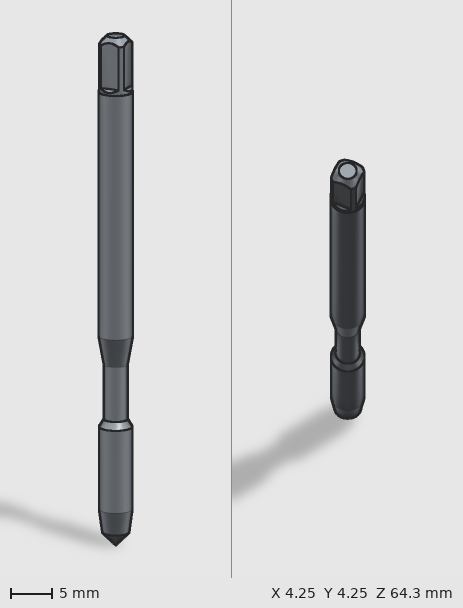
import cadquery as cq

length = 64.35
shank_radius = 4.25 / 2
neck_radius = 2.95 / 2
cutter_radius = 4.1 / 2

drive_radius = 4.1 / 2
drive_flat_width = 3.35
drive_top_radius = 1.1
drive_bottom_z = 57.25
flat_bottom_z = 58.0
drive_chamfer = drive_radius - drive_top_radius
drive_chamfer_z = length - drive_chamfer

taper_top_z = 26.45
taper_bottom_z = 22.85

shoulder_top_z = 15.95
cutter_top_z = 15.0
lead_top_z = 4.6
point_radius = 1.7
point_height = point_radius


def revolve_about_z(profile):
    """Turn a list of (radius, z) points into a solid about the Z axis."""
    return cq.Workplane("XZ").polyline(profile).close().revolve(360, (0, 0, 0), (0, 1, 0))


def drive_flat_cutter():
    """Material outside the +X flat: a vertical face that runs out at 45 degrees."""
    half_width = drive_flat_width / 2
    outer = 2 * shank_radius
    runout_z = flat_bottom_z - (outer - half_width)
    profile = [
        (half_width, flat_bottom_z),
        (half_width, length),
        (outer, length),
        (outer, runout_z),
    ]
    return cq.Workplane("XZ").polyline(profile).close().extrude(shank_radius, both=True)


def make_shank():
    """Square drive, cylindrical shank, taper and neck, ending on the cutter."""
    shank = revolve_about_z([
        (0, length),
        (drive_top_radius, length),
        (drive_radius, drive_chamfer_z),
        (drive_radius, drive_bottom_z),
        (shank_radius, drive_bottom_z),
        (shank_radius, taper_top_z),
        (neck_radius, taper_bottom_z),
        (neck_radius, shoulder_top_z),
        (0, shoulder_top_z),
    ])
    flat_cutter = drive_flat_cutter()
    for angle in (0, 90, 180, 270):
        shank = shank.cut(flat_cutter.rotate((0, 0, 0), (0, 0, 1), angle))
    return shank


def make_cutter():
    """Cutting head with a conical shoulder, a tapered lead and a point."""
    return revolve_about_z([
        (0, shoulder_top_z),
        (neck_radius, shoulder_top_z),
        (cutter_radius, cutter_top_z),
        (cutter_radius, lead_top_z),
        (point_radius, point_height),
        (0, 0),
    ])


shank = make_shank()
cutter = make_cutter()

result = cq.Compound.makeCompound([shank.val(), cutter.val()])